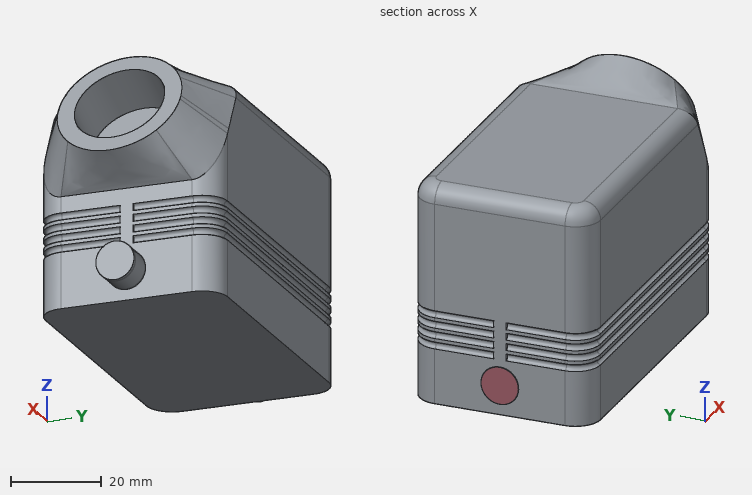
import cadquery as cq
import math

BODY_LENGTH = 73.0
BODY_WIDTH = 43.0
BODY_HEIGHT = 52.0
CORNER_RADIUS = 6.0
TOP_FILLET = 4.0

GROOVE_COUNT = 4
GROOVE_PITCH = 2.5
GROOVE_RADIUS = 0.8
LOWEST_GROOVE_Z = 14.0
GROOVE_GAP_WIDTH = 3.0

PIN_DIAMETER = 9.0
PIN_LENGTH = 7.0
PIN_Z = 7.0
PIN_HEAD_LENGTH = 0.85
PIN_RELIEF_DEPTH = 0.04
PIN_RELIEF_SLOPE_LENGTH = 0.25

ENTRY_TILT = 26.65
ENTRY_LENGTH = 12.0
ENTRY_DIAMETER = 29.0
ENTRY_BORE_DIAMETER = 21.0

tilt = math.radians(ENTRY_TILT)
half_length = BODY_LENGTH / 2
entry_axis = (math.cos(tilt), 0, math.sin(tilt))
entry_top_x = half_length - ENTRY_DIAMETER * math.sin(tilt)
entry_center = (
    (entry_top_x + half_length) / 2,
    0,
    BODY_HEIGHT - ENTRY_DIAMETER / 2 * math.cos(tilt),
)
entry_plane = cq.Plane(origin=entry_center, xDir=(0, 1, 0), normal=entry_axis)


def footprint(z):
    """Rounded rectangle of the body at height z."""
    outline = cq.Sketch().rect(BODY_LENGTH, BODY_WIDTH).vertices().fillet(CORNER_RADIUS)
    return cq.Workplane("XY").workplane(offset=z).placeSketch(outline)


def make_body():
    """Block with rounded corners and top edge, cut off on the slant at the cable entry."""
    block = footprint(0).extrude(BODY_HEIGHT).faces(">Z").edges().fillet(TOP_FILLET)
    cut_size = 2 * BODY_WIDTH
    beyond_slant = cq.Workplane(entry_plane).rect(cut_size, cut_size).extrude(cut_size)
    return block.cut(beyond_slant)


def make_groove(center_z):
    """Cutter for one half-round groove, interrupted in the middle of both end faces."""
    outline = footprint(center_z).extrude(1).faces("<Z").wires().val()
    ring = (
        cq.Workplane("YZ")
        .center(-BODY_WIDTH / 2, center_z)
        .circle(GROOVE_RADIUS)
        .sweep(cq.Workplane(outline))
    )
    gap_length = BODY_LENGTH + 2 * GROOVE_RADIUS
    gap = cq.Workplane("XY", (0, 0, center_z)).box(gap_length, GROOVE_GAP_WIDTH, 2 * GROOVE_RADIUS)
    return ring.cut(gap)


def make_entry(body):
    """Collar blending from the slanted section of the body to a round mouth."""
    section = body.faces(cq.selectors.ParallelDirSelector(cq.Vector(*entry_axis))).wires().val()
    mouth_plane = cq.Workplane(entry_plane).workplane(offset=ENTRY_LENGTH)
    mouth = mouth_plane.circle(ENTRY_DIAMETER / 2).wires().val()
    return cq.Workplane(cq.Solid.makeLoft([section, mouth], True))


def make_pins():
    """Both locking pins as one turned bar through the body."""
    radius = PIN_DIAMETER / 2
    shank_radius = radius - PIN_RELIEF_DEPTH
    end_x = half_length + PIN_LENGTH
    head_x = end_x - PIN_HEAD_LENGTH
    shank_end_x = head_x - PIN_RELIEF_SLOPE_LENGTH
    shank_start_x = half_length + PIN_RELIEF_SLOPE_LENGTH
    half_profile = (
        cq.Workplane("XZ")
        .polyline(
            [
                (0, 0),
                (end_x, 0),
                (end_x, radius),
                (head_x, radius),
                (shank_end_x, shank_radius),
                (shank_start_x, shank_radius),
                (half_length, radius),
                (0, radius),
            ]
        )
        .close()
    )
    half_bar = half_profile.revolve(360, (0, 0, 0), (1, 0, 0))
    return half_bar.union(half_bar.mirror("YZ")).translate((0, 0, PIN_Z))


def make_bore():
    """Blind round hole, as deep as the collar is long."""
    return cq.Workplane(entry_plane).circle(ENTRY_BORE_DIAMETER / 2).extrude(ENTRY_LENGTH)


result = make_body()
entry = make_entry(result)
for index in range(GROOVE_COUNT):
    result = result.cut(make_groove(LOWEST_GROOVE_Z + index * GROOVE_PITCH))
result = result.union(make_pins()).union(entry).cut(make_bore())